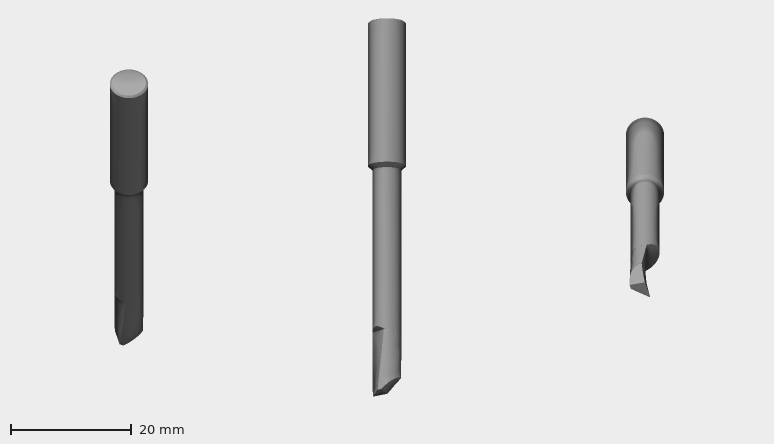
import cadquery as cq
import math


TOTAL_LENGTH = 63.5
SHANK_DIAMETER = 6.35
SHANK_LENGTH = 24.5
SHANK_CHAMFER_WIDTH = 0.35
SHANK_CHAMFER_HEIGHT = 0.25
NECK_DIAMETER = 4.86

BLADE_LENGTH = 10.7
BLADE_TWIST = 25.0
TIP_CORNER_RADIUS = 2.68
ROOT_CORNER_RADIUS = 2.38
TIP_BACK_RADIUS = 2.58
ROOT_BACK_RADIUS = 2.41
TIP_RIDGE_RADIUS = 2.62
ROOT_RIDGE_RADIUS = 2.31
RIDGE_ANGLE = 260.5
SECTION_COUNT = 5
RAMP_ANGLE = 45.0

END_RISE_ANGLE = 4.2
END_RELIEF_ANGLE = 5.2
END_CHAMFER_START = 0.1
END_CHAMFER_ANGLE = 45.0

SHANK_RADIUS = SHANK_DIAMETER / 2
NECK_RADIUS = NECK_DIAMETER / 2
CUTTER_SIZE = 4 * SHANK_DIAMETER


def polar(radius, angle):
    """Point at a radius and an angle in degrees about the bar axis."""
    return (radius * math.cos(math.radians(angle)), radius * math.sin(math.radians(angle)))


def shank_and_neck():
    shank_bottom = TOTAL_LENGTH - SHANK_LENGTH
    cone_height = SHANK_RADIUS - NECK_RADIUS
    profile = [
        (0, BLADE_LENGTH),
        (NECK_RADIUS, BLADE_LENGTH),
        (NECK_RADIUS, shank_bottom - cone_height),
        (SHANK_RADIUS, shank_bottom),
        (SHANK_RADIUS, TOTAL_LENGTH - SHANK_CHAMFER_HEIGHT),
        (SHANK_RADIUS - SHANK_CHAMFER_WIDTH, TOTAL_LENGTH),
        (0, TOTAL_LENGTH),
    ]
    return cq.Workplane("XZ").polyline(profile).close().revolve(360, (0, 0), (0, 1))


def run_out_cutter(distance, direction):
    """Wedge that carries a blade flat up into the neck along a sloping ramp.

    The flat lies at the given distance from the axis, facing the given direction.
    """
    reach = SHANK_DIAMETER
    rise = reach * math.tan(math.radians(RAMP_ANGLE))
    wedge = (
        cq.Workplane("XZ")
        .polyline([(0, 0), (reach, 0), (reach, rise)])
        .close()
        .extrude(SHANK_DIAMETER, both=True)
    )
    return wedge.translate((distance, 0, BLADE_LENGTH)).rotate((0, 0, 0), (0, 0, 1), direction)


def blend(tip_value, root_value, fraction):
    return tip_value + fraction * (root_value - tip_value)


def blade_section(fraction):
    """Closed blade outline at a fraction of the way from tip (0) to root (1)."""
    twist = fraction * BLADE_TWIST
    corner_radius = blend(TIP_CORNER_RADIUS, ROOT_CORNER_RADIUS, fraction)
    back_radius = blend(TIP_BACK_RADIUS, ROOT_BACK_RADIUS, fraction)
    ridge_radius = blend(TIP_RIDGE_RADIUS, ROOT_RIDGE_RADIUS, fraction)
    corner = polar(corner_radius, 180 + twist)
    ridge = polar(ridge_radius, RIDGE_ANGLE + twist)
    back_middle = polar(back_radius, (RIDGE_ANGLE + 360) / 2 + twist)
    back_end = polar(back_radius, twist)
    outline = (
        cq.Workplane("XY", origin=(0, 0, fraction * BLADE_LENGTH))
        .moveTo(*corner)
        .lineTo(*ridge)
        .threePointArc(back_middle, back_end)
        .close()
    )
    return outline.val()


def blade():
    fractions = [index / (SECTION_COUNT - 1) for index in range(SECTION_COUNT)]
    sections = [blade_section(fraction) for fraction in fractions]
    return cq.Workplane(cq.Solid.makeLoft(sections))


def end_face_cutter():
    """Block below the end face, which pivots about the cutting corner."""
    corner = (-TIP_CORNER_RADIUS, 0, 0)
    block = cq.Workplane("XY").box(CUTTER_SIZE, CUTTER_SIZE, CUTTER_SIZE, centered=(True, True, False))
    block = block.translate((corner[0], 0, -CUTTER_SIZE))
    block = block.rotate(corner, (corner[0] + 1, 0, 0), -END_RELIEF_ANGLE)
    return block.rotate(corner, (corner[0], 1, 0), -END_RISE_ANGLE)


def end_chamfer_cutter():
    """Wedge that slopes the end up towards the back edge of the blade."""
    start_z = (END_CHAMFER_START + TIP_CORNER_RADIUS) * math.tan(math.radians(END_RISE_ANGLE))
    slope = math.tan(math.radians(END_CHAMFER_ANGLE))
    reach = SHANK_DIAMETER
    lower = (END_CHAMFER_START - reach, start_z - reach * slope)
    upper = (END_CHAMFER_START + reach, start_z + reach * slope)
    return (
        cq.Workplane("XZ")
        .polyline([lower, (upper[0], lower[1]), upper])
        .close()
        .extrude(SHANK_DIAMETER, both=True)
    )


def relief_flat():
    """Distance from the axis and facing direction of the relief flat at the blade root."""
    corner = polar(ROOT_CORNER_RADIUS, 180 + BLADE_TWIST)
    ridge = polar(ROOT_RIDGE_RADIUS, RIDGE_ANGLE + BLADE_TWIST)
    direction = math.degrees(math.atan2(ridge[1] - corner[1], ridge[0] - corner[0])) - 90
    facing = polar(1, direction)
    distance = corner[0] * facing[0] + corner[1] * facing[1]
    return distance, direction


body = shank_and_neck()
body = body.cut(run_out_cutter(0, 90 + BLADE_TWIST))
body = body.cut(run_out_cutter(*relief_flat()))
cutting_blade = blade().cut(end_face_cutter()).cut(end_chamfer_cutter())
result = body.union(cutting_blade)